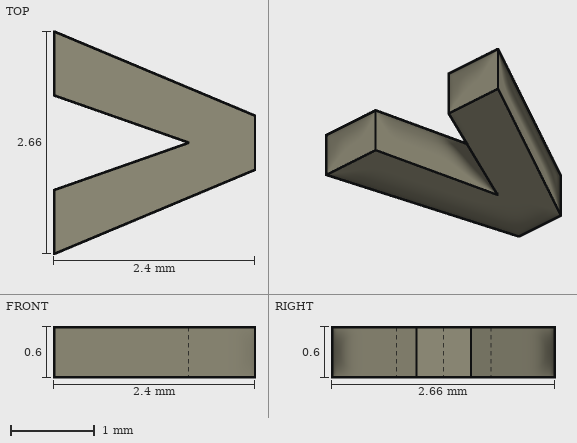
import cadquery as cq

length = 2.4
width = 2.66
thickness = 0.6
tip_width = 0.65
mouth_width = 1.128
notch_depth = 1.607

outline = [
    (0, width / 2),
    (length, tip_width / 2),
    (length, -tip_width / 2),
    (0, -width / 2),
    (0, -mouth_width / 2),
    (notch_depth, 0),
    (0, mouth_width / 2),
]

result = cq.Workplane("XY").polyline(outline).close().extrude(thickness)